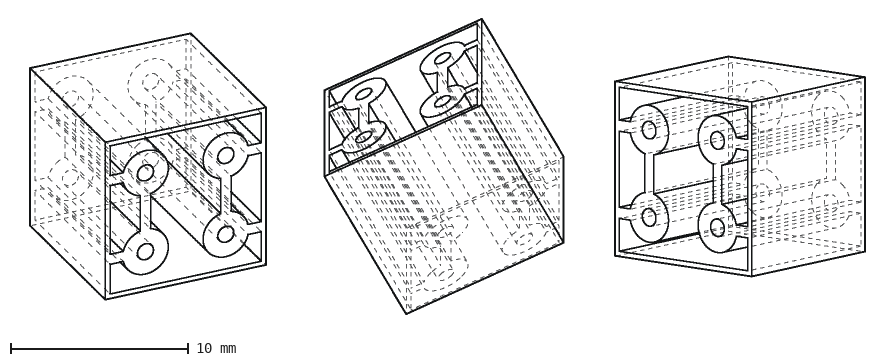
import cadquery as cq

side = 10.0
wall = 0.3
post_offset = side / 4
post_diameter = 2.84
bore_diameter = 1.0
rib_thickness = 0.64

inner_side = side - 2 * wall
post_centres = [(y, z) for y in (-post_offset, post_offset) for z in (-post_offset, post_offset)]


def bar(size_y, size_z, centre_y=0.0, centre_z=0.0):
    """Rectangular bar running the full length along X."""
    return cq.Workplane("XY").box(side, size_y, size_z).translate((0, centre_y, centre_z))


def rods(diameter):
    """Cylinders along X on the four post axes."""
    return (
        cq.Workplane("YZ", origin=(-side / 2, 0, 0))
        .pushPoints(post_centres)
        .circle(diameter / 2)
        .extrude(side)
    )


body = bar(side, side).cut(bar(inner_side, inner_side))

body = body.union(rods(post_diameter))

rib_length = side / 2 - post_offset - wall / 2
rib_centre = post_offset + rib_length / 2
for y_sign in (-1, 1):
    for z in (-post_offset, post_offset):
        body = body.union(bar(rib_length, rib_thickness, y_sign * rib_centre, z))

for y in (-post_offset, post_offset):
    body = body.union(bar(rib_thickness, 2 * post_offset, y))

result = body.cut(rods(bore_diameter))